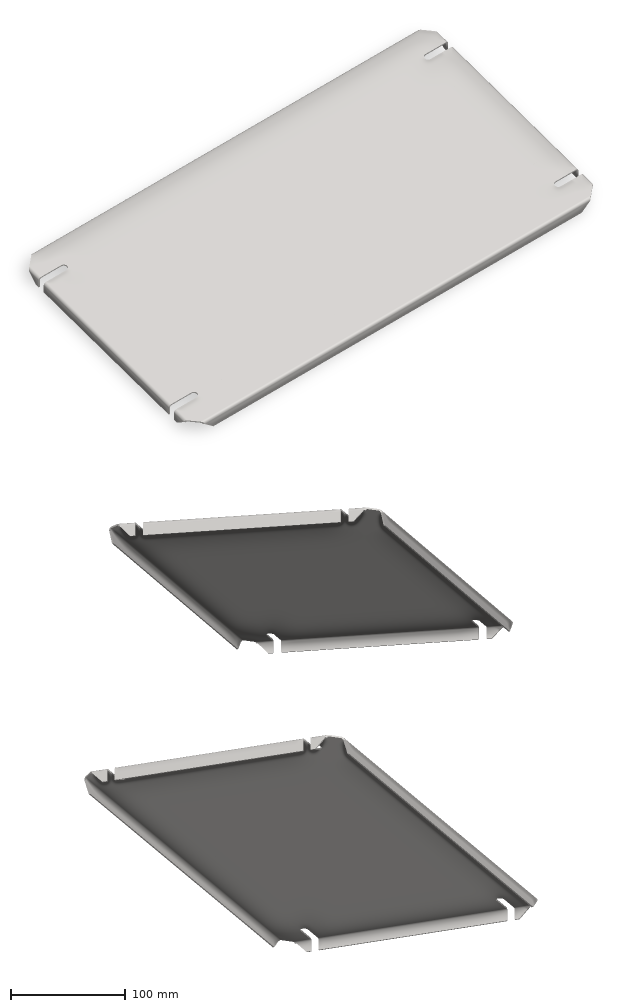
import cadquery as cq

width = 248.5
length = 452.7
height = 12.0

thickness = 1.5
bend_radius = 2.5
inner_bend_radius = bend_radius - thickness

corner_clip = 13.0
flange_taper = height - bend_radius

slot_width = 7.2
slot_depth = 28.5
slot_edge_distance = 31.0


def rounded_block(size_x, size_y, size_z, radius):
    """Block hanging from Z = 0 with its four top edges rounded."""
    block = cq.Workplane("XY").box(size_x, size_y, size_z, centered=(True, True, False))
    return block.translate((0, 0, -size_z)).faces(">Z").edges().fillet(radius)


def folded_tray():
    """Top plate with four flanges folded down, open underneath."""
    outside = rounded_block(width, length, height, bend_radius)
    inside = rounded_block(
        width - 2 * thickness, length - 2 * thickness, height, inner_bend_radius
    ).translate((0, 0, -thickness))
    return outside.cut(inside)


def corner_cutter(side_x, side_y):
    """Triangular prism that clips one corner of the plate."""
    corner_x = side_x * width / 2
    corner_y = side_y * length / 2
    return (
        cq.Workplane("XY")
        .moveTo(corner_x, corner_y)
        .lineTo(corner_x - side_x * corner_clip, corner_y)
        .lineTo(corner_x, corner_y - side_y * corner_clip)
        .close()
        .extrude(-height)
    )


def taper_cutter(plane, span, depth, side):
    """Wedge that tapers one end of both opposite flanges running along span."""
    start = span / 2 - corner_clip
    flange_end = start + thickness
    return (
        cq.Workplane(plane)
        .moveTo(side * start, -bend_radius)
        .lineTo(side * flange_end, -bend_radius)
        .lineTo(side * flange_end, -height)
        .lineTo(side * (start - flange_taper), -height)
        .close()
        .extrude(depth / 2, both=True)
    )


def slot_cutter(side_x, side_y):
    """Slot with a round inner end, open at the short side and through its flange."""
    center_x = side_x * (width / 2 - slot_edge_distance)
    edge_y = side_y * length / 2
    radius = slot_width / 2
    round_end_y = edge_y - side_y * slot_depth
    arc_start_y = round_end_y + side_y * radius
    return (
        cq.Workplane("XY")
        .moveTo(center_x - radius, edge_y)
        .lineTo(center_x - radius, arc_start_y)
        .threePointArc((center_x, round_end_y), (center_x + radius, arc_start_y))
        .lineTo(center_x + radius, edge_y)
        .close()
        .extrude(-height)
    )


result = folded_tray()

for side_x in (-1, 1):
    for side_y in (-1, 1):
        result = result.cut(corner_cutter(side_x, side_y))
        result = result.cut(slot_cutter(side_x, side_y))

for side in (-1, 1):
    result = result.cut(taper_cutter("XZ", width, length, side))
    result = result.cut(taper_cutter("YZ", length, width, side))